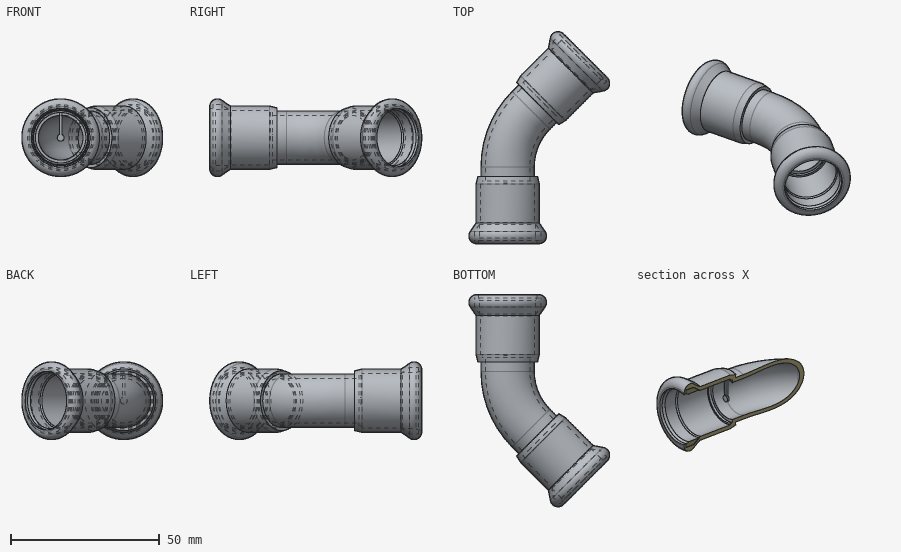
import cadquery as cq
import math

bend_angle = 45.0
bend_radius = 26.8
leg_length = 25.9

pipe_radius = 9.0
bore_radius = 7.5

socket_diameter = 21.3
socket_radius = socket_diameter / 2
socket_bore_diameter = 18.2
socket_bore_radius = socket_bore_diameter / 2
socket_end = 22.7
socket_taper_start = 20.2
socket_end_radius = 10.05
rim_diameter = 26.2
rim_radius = rim_diameter / 2
rim_round = 2.65
rim_cone_start = 4.2
rim_cone_end = 7.0
lip_radius = 9.85
lip_end = 1.1

stop_depth = 20.2
recess_radius = 8.5
recess_depth = 1.0

seal_inner_radius = 9.4
seal_outer_radius = 11.1
seal_chamfer_end = 2.0
seal_end = 6.55
lead_in_end = 7.1

marker_radius = 1.15
marker_bar_width = 0.85
marker_thickness = 0.7

rim_centre_radius = rim_radius - rim_round
bend_radians = math.radians(bend_angle)
bend_start_x = rim_radius
bend_end = (
    bend_start_x + bend_radius * (1 - math.cos(bend_radians)),
    leg_length + bend_radius * math.sin(bend_radians),
)
far_mouth = (
    bend_end[0] + leg_length * math.sin(bend_radians),
    bend_end[1] + leg_length * math.cos(bend_radians),
)


def at_near_mouth(body):
    return body.translate((bend_start_x, 0, 0))


def at_far_mouth(body):
    turned = body.rotate((0, 0, 0), (0, 0, 1), 180 - bend_angle)
    return turned.translate((far_mouth[0], far_mouth[1], 0))


mouth_placements = [at_near_mouth, at_far_mouth]


def revolve_about_axis(profile):
    """Revolve a (radius, depth) profile about the Y axis."""
    return profile.close().revolve(360, (0, 0, 0), (0, 1, 0))


def make_socket_outside():
    """Rounded rim, cone, cylinder, tapered end and straight pipe leg."""
    cone_offset = rim_cone_start - rim_round
    cone_radius = rim_centre_radius + math.sqrt(rim_round**2 - cone_offset**2)
    profile = (
        cq.Workplane("XY")
        .lineTo(rim_centre_radius, 0)
        .threePointArc((rim_radius, rim_round), (cone_radius, rim_cone_start))
        .lineTo(socket_radius, rim_cone_end)
        .lineTo(socket_radius, socket_taper_start)
        .lineTo(socket_end_radius, socket_end)
        .lineTo(pipe_radius, socket_end)
        .lineTo(pipe_radius, leg_length)
        .lineTo(0, leg_length)
    )
    return revolve_about_axis(profile)


def make_socket_cavity():
    """Lip opening, seal groove, lead-in, socket bore, stepped stop and pipe bore."""
    recess_end = stop_depth + recess_depth
    profile = (
        cq.Workplane("XY")
        .lineTo(lip_radius, 0)
        .lineTo(lip_radius, lip_end)
        .lineTo(seal_outer_radius, lip_end)
        .lineTo(seal_outer_radius, rim_cone_start)
        .lineTo(seal_inner_radius, seal_end)
        .lineTo(socket_bore_radius, lead_in_end)
        .lineTo(socket_bore_radius, stop_depth)
        .lineTo(recess_radius, stop_depth)
        .lineTo(recess_radius, recess_end)
        .lineTo(bore_radius, recess_end)
        .lineTo(bore_radius, leg_length)
        .lineTo(0, leg_length)
    )
    return revolve_about_axis(profile)


def make_bend():
    """Curved pipe between the two straight legs."""
    return (
        cq.Workplane("XZ", origin=(bend_start_x, leg_length, 0))
        .circle(pipe_radius)
        .circle(bore_radius)
        .revolve(bend_angle, (bend_radius, 0.7, 0), (bend_radius, -0.7, 0))
    )


def make_marker():
    """Disc on the axis, joined to the recess wall by a bar towards +Z."""
    recess_end = stop_depth + recess_depth
    disc = cq.Workplane("XZ", origin=(0, recess_end, 0)).circle(marker_radius).extrude(marker_thickness)
    bar = (
        cq.Workplane("XZ", origin=(0, recess_end, 0))
        .center(0, recess_radius / 2)
        .rect(marker_bar_width, recess_radius)
        .extrude(marker_thickness)
    )
    return disc.union(bar)


def make_elbow():
    """Bend with a socket on each end and the marker in the near socket."""
    socket = make_socket_outside().cut(make_socket_cavity())
    elbow = make_bend()
    for place in mouth_placements:
        elbow = elbow.union(place(socket))
    return elbow.union(at_near_mouth(make_marker()))


def make_seal():
    """Ring that fills the groove behind the lip, chamfered towards the mouth."""
    profile = (
        cq.Workplane("XY")
        .moveTo(lip_radius, lip_end)
        .lineTo(seal_outer_radius, lip_end)
        .lineTo(seal_outer_radius, rim_cone_start)
        .lineTo(seal_inner_radius, seal_end)
        .lineTo(seal_inner_radius, seal_chamfer_end)
    )
    return revolve_about_axis(profile)


elbow = make_elbow()
seals = [place(make_seal()) for place in mouth_placements]

result = cq.Compound.makeCompound([elbow.val(), *[seal.val() for seal in seals]])